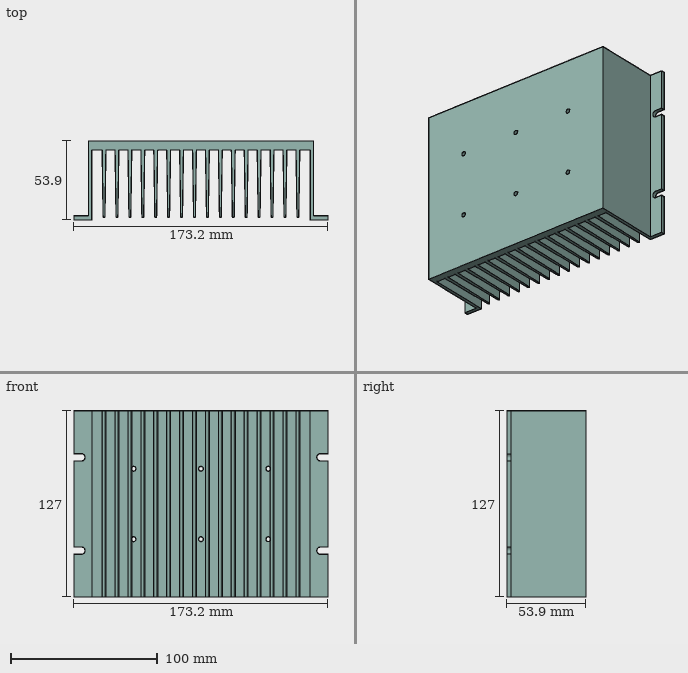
import cadquery as cq

width = 173.2
depth = 53.9
height = 127.0

base_thickness = 6.2
wall_thickness = 2.5
flange_thickness = 3.0
flange_overhang = 9.9
body_half_width = width / 2 - flange_overhang
cavity_half_width = body_half_width - wall_thickness

fin_count = 16
fin_span = 132.0
fin_pitch = fin_span / (fin_count - 1)
fin_root_thickness = 2.8
fin_tip_thickness = 1.4
fin_tip_setback = 1.7
fin_tip_rise = fin_tip_thickness / 2

slot_width = 4.9
slot_length = 7.6
slot_spacing = height / 2

hole_diameter = 3.1
hole_columns = 3
hole_rows = 2
hole_spacing_x = 45.9
hole_spacing_z = 48.0

base_front = depth - base_thickness


def make_channel():
    half_outline = [
        (0, depth),
        (body_half_width, depth),
        (body_half_width, flange_thickness),
        (width / 2, flange_thickness),
        (width / 2, 0),
        (cavity_half_width, 0),
        (cavity_half_width, base_front),
        (0, base_front),
    ]
    half = cq.Workplane("XY").polyline(half_outline).close().extrude(height / 2, both=True)
    return half.union(half.mirror("YZ"))


def make_fin(x):
    root = fin_root_thickness / 2
    tip = fin_tip_thickness / 2
    shoulder_y = fin_tip_setback + fin_tip_rise
    return (
        cq.Workplane("XY")
        .moveTo(x - root, depth)
        .lineTo(x - root, base_front)
        .lineTo(x - tip, shoulder_y)
        .threePointArc((x, fin_tip_setback), (x + tip, shoulder_y))
        .lineTo(x + root, base_front)
        .lineTo(x + root, depth)
        .close()
        .extrude(height / 2, both=True)
    )


def make_slot_cutter(side, z):
    return (
        cq.Workplane("XZ")
        .center(side * width / 2, z)
        .slot2D(2 * slot_length, slot_width)
        .extrude(-flange_thickness)
    )


def make_hole_cutters():
    return (
        cq.Workplane("XZ", origin=(0, base_front, 0))
        .rarray(hole_spacing_x, hole_spacing_z, hole_columns, hole_rows)
        .circle(hole_diameter / 2)
        .extrude(-base_thickness)
    )


result = make_channel()

for index in range(fin_count):
    result = result.union(make_fin(index * fin_pitch - fin_span / 2))

for side in (-1, 1):
    for z in (-slot_spacing / 2, slot_spacing / 2):
        result = result.cut(make_slot_cutter(side, z))

result = result.cut(make_hole_cutters())